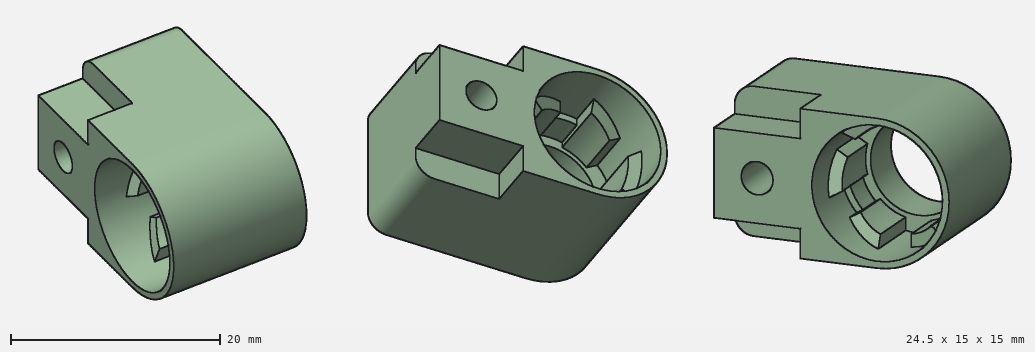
import cadquery as cq
import math

length = 24.5
height = 15.0
depth = 15.0
end_radius = height / 2
corner_radius = 2.0

notch_length = 9.0
notch_depth = 5.0
notch_height = 3.0

screw_diameter = 3.3
screw_x = 4.5

socket_x = length - end_radius
socket_z = height / 2
socket_diameter = 13.6
socket_depth = 10.0
through_diameter = 10.0

tooth_count = 6
tooth_pitch = 360 / tooth_count
tooth_inner_radius = 5.51
tooth_gap = 2.67
tooth_deep_edge = 5.2
tooth_face_angle = 26.0

ledge_count = 3
ledge_start_angle = 90
ledge_inner_radius = 6.08
ledge_front_depth = 6.9

wall_overlap = 0.12
insert_outer_radius = socket_diameter / 2 + wall_overlap


def cylinder_y(radius, y_start, y_end):
    """Cylinder about the Y axis between two depths."""
    return cq.Workplane("XZ", origin=(0, y_start, 0)).circle(radius).extrude(y_start - y_end)


def box(x_size, y_size, z_size, corner):
    return cq.Workplane("XY").box(x_size, y_size, z_size, centered=False).translate(corner)


def turn(shape, angle):
    """Turn counterclockwise about the socket axis, as seen from the front."""
    return shape.rotate((0, 0, 0), (0, -1, 0), angle)


def gap_block(angle, y_start):
    """Straight-sided radial gap between two neighbouring teeth."""
    block = box(insert_outer_radius, socket_depth - y_start, tooth_gap, (0, y_start, -tooth_gap / 2))
    return turn(block, angle)


def make_body():
    body = box(length, depth, height, (0, 0, 0))
    body = body.edges("|Y and <X").fillet(corner_radius)
    rounded_end = cylinder_y(end_radius, 0, depth).translate((socket_x, 0, socket_z))
    body = body.intersect(box(socket_x, depth, height, (0, 0, 0)).union(rounded_end))
    for z in (0, height - notch_height):
        body = body.cut(box(notch_length, notch_depth, notch_height, (0, 0, z)))
    screw_hole = cylinder_y(screw_diameter / 2, 0, depth)
    return body.cut(screw_hole.translate((screw_x, 0, height / 2)))


def make_teeth():
    ring = cylinder_y(insert_outer_radius, 0, socket_depth)
    ring = ring.cut(cylinder_y(tooth_inner_radius, 0, socket_depth))
    for i in range(tooth_count):
        ring = ring.cut(gap_block((i + 0.5) * tooth_pitch, 0))
    single_width = tooth_inner_radius
    single = box(insert_outer_radius, socket_depth, single_width, (0, 0, -single_width / 2))
    side = tooth_gap / 2
    run = insert_outer_radius - side
    rise = run * math.tan(math.radians(tooth_face_angle))
    envelope = (
        cq.Workplane("YZ")
        .moveTo(tooth_deep_edge, side)
        .lineTo(tooth_deep_edge - rise, insert_outer_radius)
        .lineTo(socket_depth, insert_outer_radius)
        .lineTo(socket_depth, side)
        .close()
        .extrude(insert_outer_radius)
    )
    envelope = turn(envelope, -tooth_pitch / 2)
    tooth = ring.intersect(single).intersect(envelope)
    return [turn(tooth, i * tooth_pitch) for i in range(tooth_count)]


def make_ledges():
    ring = cylinder_y(insert_outer_radius, ledge_front_depth, socket_depth)
    ring = ring.cut(cylinder_y(ledge_inner_radius, ledge_front_depth, socket_depth))
    ledge = ring.intersect(gap_block(ledge_start_angle, ledge_front_depth))
    return [turn(ledge, i * 360 / ledge_count) for i in range(ledge_count)]


def add_socket(body):
    socket = cylinder_y(socket_diameter / 2, 0, socket_depth)
    through_hole = cylinder_y(through_diameter / 2, 0, depth)
    body = body.cut(socket.union(through_hole).translate((socket_x, 0, socket_z)))
    for insert in make_teeth() + make_ledges():
        body = body.union(insert.translate((socket_x, 0, socket_z)))
    return body


result = add_socket(make_body())